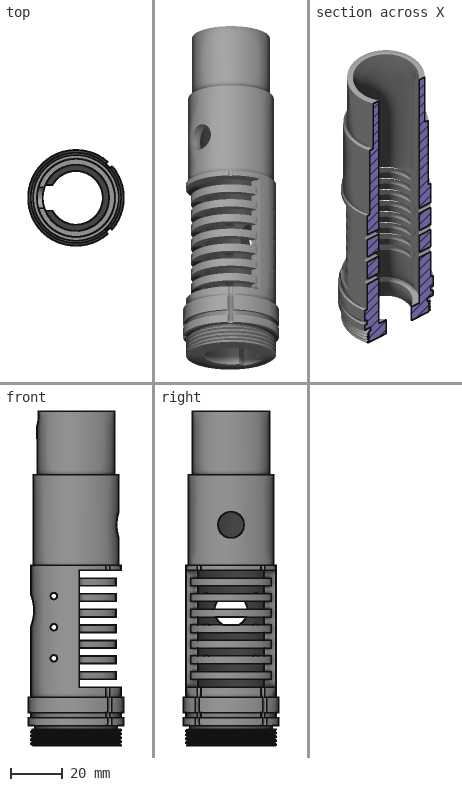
import cadquery as cq
import math

TOTAL_HEIGHT = 129.0
BORE_DIAMETER = 25.5

RELIEF_DIAMETER = 32.0
FLANGE_DIAMETER = 37.0
BODY_DIAMETER = 34.8
MIDDLE_DIAMETER = 33.0
TOP_DIAMETER = 30.0
RELIEF_BOTTOM = 6.3
FLANGE_BOTTOM = 7.7
FLANGE_GROOVE_BOTTOM = 10.8
FLANGE_GROOVE_TOP = 12.8
FLANGE_TOP = 18.7
BODY_TOP = 69.5
MIDDLE_TOP = 104.5

THREAD_ROOT_DIAMETER = 33.2
THREAD_MAJOR_DIAMETER = BODY_DIAMETER
THREAD_TURNS = 4.2
THREAD_PITCH = RELIEF_BOTTOM / THREAD_TURNS
THREAD_EMBED = 0.1
THREAD_BASE_WIDTH = 1.4
THREAD_CREST_WIDTH = 0.3

WINDOW_EDGE_X = 1.3
WINDOW_BOTTOM = 22.6
WINDOW_TOP = 67.6
RIB_COUNT = 7
RIB_DIAMETER = 31.0

LIP_DIAMETER = 20.6
LIP_HEIGHT = FLANGE_BOTTOM
KEYWAY_WIDTH = 9.8

LARGE_HOLE_DIAMETER = 12.6
LARGE_HOLE_Z = 52.1
MIDDLE_HOLE_DIAMETER = 10.0
MIDDLE_HOLE_Z = 85.1
SMALL_HOLE_DIAMETER = 2.5
SMALL_HOLE_X = -8.5
SMALL_HOLE_PITCH = 12.0
SMALL_HOLE_COUNT = 3
LOWEST_SMALL_HOLE_Z = 33.7
NOTCH_WIDTH = 8.0
NOTCH_DEPTH = 5.9

SIDE_GROOVE_DIAMETER = 2.5
SIDE_GROOVE_CENTER_RADIUS = 18.0
SIDE_GROOVE_ANGLE = 45.0


def disc(diameter, bottom, top):
    """Solid cylinder on the Z axis between two heights."""
    return cq.Workplane("XY").workplane(offset=bottom).circle(diameter / 2).extrude(top - bottom)


def box(x_min, x_max, width, bottom, top):
    """Block centred on Y = 0."""
    length = x_max - x_min
    return cq.Workplane("XY").box(length, width, top - bottom, centered=(False, True, False)).translate(
        (x_min, 0, bottom)
    )


def radial_hole(diameter, height, direction):
    """Cutter from the axis outward through the wall on the +X or -X side."""
    return (
        cq.Workplane("YZ").center(0, height).circle(diameter / 2).extrude(direction * FLANGE_DIAMETER)
    )


def stepped_outside():
    steps = [
        (THREAD_ROOT_DIAMETER, 0),
        (RELIEF_DIAMETER, RELIEF_BOTTOM),
        (FLANGE_DIAMETER, FLANGE_BOTTOM),
        (BODY_DIAMETER, FLANGE_GROOVE_BOTTOM),
        (FLANGE_DIAMETER, FLANGE_GROOVE_TOP),
        (BODY_DIAMETER, FLANGE_TOP),
        (MIDDLE_DIAMETER, BODY_TOP),
        (TOP_DIAMETER, MIDDLE_TOP),
    ]
    tops = [bottom for _, bottom in steps[1:]] + [TOTAL_HEIGHT]
    body = None
    for (diameter, bottom), top in zip(steps, tops):
        step = disc(diameter, bottom, top)
        body = step if body is None else body.union(step)
    return body


def thread_ridge():
    """Right-hand helical ridge, trimmed flat at both ends of the threaded length."""
    base_radius = THREAD_ROOT_DIAMETER / 2 - THREAD_EMBED
    crest_radius = THREAD_MAJOR_DIAMETER / 2
    start = -THREAD_PITCH
    helix = cq.Wire.makeHelix(THREAD_PITCH, RELIEF_BOTTOM + 2 * THREAD_PITCH, base_radius)
    profile = cq.Workplane("XZ").polyline(
        [
            (base_radius, -THREAD_BASE_WIDTH / 2),
            (crest_radius, -THREAD_CREST_WIDTH / 2),
            (crest_radius, THREAD_CREST_WIDTH / 2),
            (base_radius, THREAD_BASE_WIDTH / 2),
        ]
    ).close()
    ridge = profile.sweep(cq.Workplane(obj=helix), isFrenet=True).translate((0, 0, start))
    return ridge.intersect(disc(FLANGE_DIAMETER, 0, RELIEF_BOTTOM))


def cut_bore(body):
    body = body.cut(disc(BORE_DIAMETER, LIP_HEIGHT, TOTAL_HEIGHT))
    body = body.cut(disc(LIP_DIAMETER, 0, LIP_HEIGHT))
    keyway = box(-BORE_DIAMETER / 2, 0, KEYWAY_WIDTH, 0, LIP_HEIGHT)
    return body.cut(keyway.intersect(disc(BORE_DIAMETER, 0, LIP_HEIGHT)))


def cut_window(body):
    """Recess the +X half down to the rib diameter, then open the gaps between the ribs."""
    opening = box(WINDOW_EDGE_X, FLANGE_DIAMETER, 2 * FLANGE_DIAMETER, WINDOW_BOTTOM, WINDOW_TOP)
    body = body.cut(opening.cut(disc(RIB_DIAMETER, WINDOW_BOTTOM, WINDOW_TOP)))
    band = (WINDOW_TOP - WINDOW_BOTTOM) / (2 * RIB_COUNT + 1)
    for index in range(RIB_COUNT + 1):
        gap_bottom = WINDOW_BOTTOM + 2 * index * band
        gap = box(WINDOW_EDGE_X, FLANGE_DIAMETER, 2 * FLANGE_DIAMETER, gap_bottom, gap_bottom + band)
        body = body.cut(gap)
    return body


def cut_radial_holes(body):
    body = body.cut(radial_hole(LARGE_HOLE_DIAMETER, LARGE_HOLE_Z, -1))
    body = body.cut(radial_hole(MIDDLE_HOLE_DIAMETER, MIDDLE_HOLE_Z, 1))
    for index in range(SMALL_HOLE_COUNT):
        height = LOWEST_SMALL_HOLE_Z + index * SMALL_HOLE_PITCH
        hole = cq.Workplane("XZ").center(SMALL_HOLE_X, height).circle(SMALL_HOLE_DIAMETER / 2)
        body = body.cut(hole.extrude(FLANGE_DIAMETER, both=True))
    return body


def cut_top_notch(body):
    """U-shaped notch in the top rim on the -X side."""
    arc_center_z = TOTAL_HEIGHT - NOTCH_DEPTH + NOTCH_WIDTH / 2
    rounded_end = radial_hole(NOTCH_WIDTH, arc_center_z, -1)
    straight_part = box(-FLANGE_DIAMETER, 0, NOTCH_WIDTH, arc_center_z, TOTAL_HEIGHT)
    return body.cut(rounded_end).cut(straight_part)


def cut_side_grooves(body):
    angle = math.radians(SIDE_GROOVE_ANGLE)
    x = SIDE_GROOVE_CENTER_RADIUS * math.cos(angle)
    y = SIDE_GROOVE_CENTER_RADIUS * math.sin(angle)
    for side in (-1, 1):
        groove = disc(SIDE_GROOVE_DIAMETER, FLANGE_BOTTOM, BODY_TOP).translate((x, side * y, 0))
        body = body.cut(groove)
    return body


result = stepped_outside()
result = cut_bore(result)
result = cut_window(result)
result = cut_radial_holes(result)
result = cut_top_notch(result)
result = cut_side_grooves(result)
result = result.union(thread_ridge())